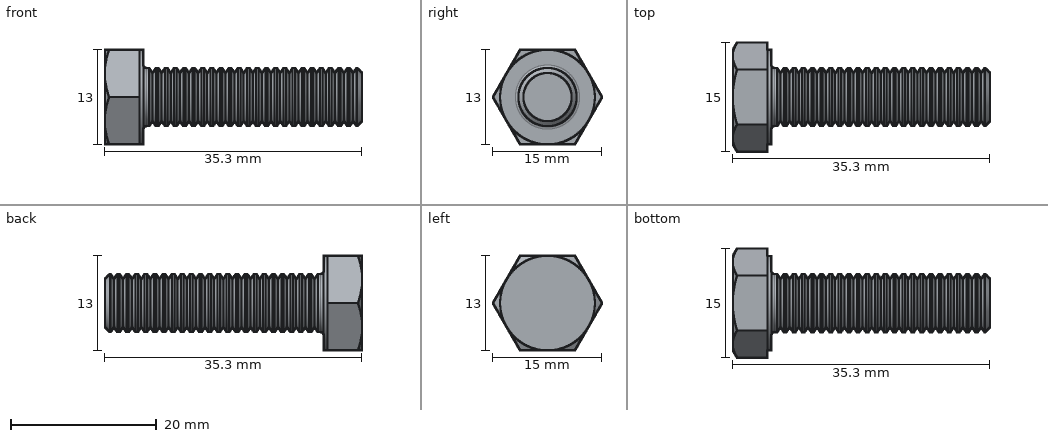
import cadquery as cq
import math


across_flats = 13.0
head_height = 5.3
collar_thickness = 0.55
collar_radius = across_flats / 2
corner_radius = across_flats / math.sqrt(3)
head_chamfer_angle = 30.0

shank_radius = 4.0
shank_length = 30.0
neck_fillet = 0.4
pitch = 1.25
groove_depth = 0.69
crest_width = pitch / 4
tip_chamfer = groove_depth
root_radius = shank_radius - groove_depth
groove_half_width = (pitch - crest_width) / 2
groove_count = round(shank_length / pitch) - 1

head_start = -head_height
hex_end = -collar_thickness


def make_head():
    """Hexagonal prism with its corners at +Y and -Y, chamfered on the outer face."""
    hexagon = (
        cq.Workplane("YZ")
        .workplane(offset=head_start)
        .polygon(6, 2 * corner_radius)
        .extrude(hex_end - head_start)
    )
    chamfer_depth = (corner_radius - collar_radius) * math.tan(math.radians(head_chamfer_angle))
    chamfer_envelope = (
        cq.Workplane("XY")
        .moveTo(head_start, 0)
        .lineTo(head_start, collar_radius)
        .lineTo(head_start + chamfer_depth, corner_radius)
        .lineTo(hex_end, corner_radius)
        .lineTo(hex_end, 0)
        .close()
        .revolve(360, (0, 0, 0), (1, 0, 0))
    )
    return hexagon.intersect(chamfer_envelope)


def make_shank():
    """Washer face, filleted neck and plain cylinder with a chamfered tip."""
    fillet_middle = neck_fillet * (1 - math.sqrt(0.5))
    return (
        cq.Workplane("XY")
        .moveTo(hex_end, 0)
        .lineTo(hex_end, collar_radius)
        .lineTo(0, collar_radius)
        .lineTo(0, shank_radius + neck_fillet)
        .threePointArc((fillet_middle, shank_radius + fillet_middle), (neck_fillet, shank_radius))
        .lineTo(shank_length - tip_chamfer, shank_radius)
        .lineTo(shank_length, shank_radius - tip_chamfer)
        .lineTo(shank_length, 0)
        .close()
        .revolve(360, (0, 0, 0), (1, 0, 0))
    )


def make_groove(root_position):
    """V-shaped ring that represents one turn of the thread."""
    return (
        cq.Workplane("XY")
        .moveTo(root_position, root_radius)
        .lineTo(root_position - groove_half_width, shank_radius)
        .lineTo(root_position + groove_half_width, shank_radius)
        .close()
        .revolve(360, (0, 0, 0), (1, 0, 0))
    )


result = make_head().union(make_shank())
for groove_number in range(1, groove_count + 1):
    result = result.cut(make_groove(groove_number * pitch))